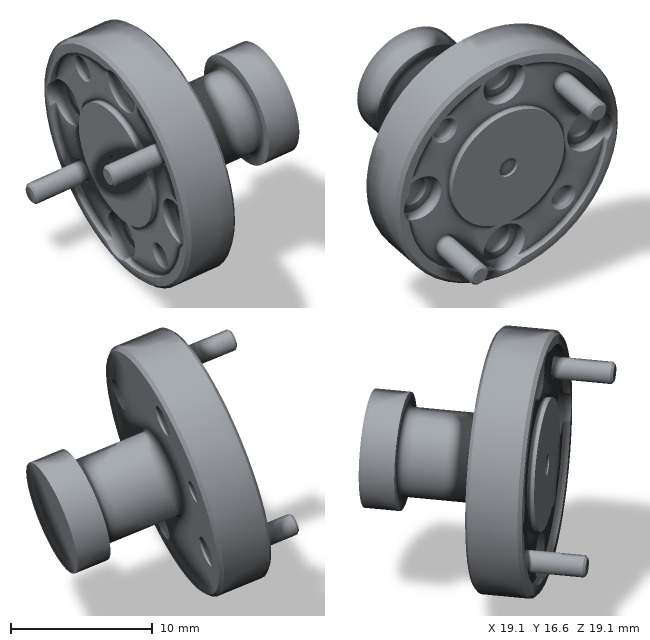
import cadquery as cq
import math

FLANGE_DIAMETER = 19.05
FLANGE_THICKNESS = 4.08
FLANGE_CHAMFER = 0.27

NECK_DIAMETER = 6.38
NECK_LENGTH = 6.08
NECK_FILLET = 0.25
HEAD_DIAMETER = 8.45
HEAD_LENGTH = 2.55

RECESS_DIAMETER = 17.15
BOSS_DIAMETER = 9.52
RECESS_DEPTH = 0.51
CENTER_HOLE_DIAMETER = 1.52
CENTER_HOLE_DEPTH = 0.25

PITCH_RADIUS = 7.15
SCREW_ANGLES = (0, 90, 180, 270)
SCREW_HOLE_DIAMETER = 2.27
COUNTERBORE_DIAMETER = 3.55
COUNTERBORE_DEPTH = 1.5

ALIGNMENT_ANGLES = (135, 315)
ALIGNMENT_HOLE_DIAMETER = 1.64
ALIGNMENT_HOLE_CHAMFER = 0.2

PIN_ANGLES = (45, 225)
PIN_DIAMETER = 1.58
PIN_PROJECTION = 3.87
PIN_TIP_CHAMFER = 0.17
PIN_HOLE_CHAMFER = 0.1

NECK_END = FLANGE_THICKNESS + NECK_LENGTH


def cylinder(diameter, start, end, x=0, z=0):
    """Cylinder parallel to Y, from Y = start to Y = end."""
    solid = cq.Solid.makeCylinder(
        diameter / 2, end - start, cq.Vector(x, start, z), cq.Vector(0, 1, 0)
    )
    return cq.Workplane(obj=solid)


def pitch_point(angle):
    """X and Z of a place on the pitch circle."""
    turn = math.radians(angle)
    return PITCH_RADIUS * math.cos(turn), PITCH_RADIUS * math.sin(turn)


def chamfered_hole(diameter, chamfer, x, z):
    """Cutter through the flange, with a 45 degree cone at the recess floor."""
    mouth = cq.Solid.makeCone(
        diameter / 2 + chamfer,
        diameter / 2,
        chamfer,
        cq.Vector(x, RECESS_DEPTH, z),
        cq.Vector(0, 1, 0),
    )
    bore = cylinder(diameter, 0, FLANGE_THICKNESS, x, z)
    return bore.union(cq.Workplane(obj=mouth))


def make_blank():
    """Chamfered flange with the neck and head behind it."""
    flange = cylinder(FLANGE_DIAMETER, 0, FLANGE_THICKNESS).edges().chamfer(FLANGE_CHAMFER)
    neck_radius = NECK_DIAMETER / 2
    flare_radius = neck_radius + NECK_FILLET
    bulge = NECK_FILLET * (1 - math.sqrt(0.5))
    neck = (
        cq.Workplane("XY")
        .moveTo(0, FLANGE_THICKNESS)
        .lineTo(flare_radius, FLANGE_THICKNESS)
        .threePointArc(
            (neck_radius + bulge, FLANGE_THICKNESS + bulge),
            (neck_radius, FLANGE_THICKNESS + NECK_FILLET),
        )
        .lineTo(neck_radius, NECK_END - NECK_FILLET)
        .threePointArc((neck_radius + bulge, NECK_END - bulge), (flare_radius, NECK_END))
        .lineTo(0, NECK_END)
        .close()
        .revolve(360, (0, 0, 0), (0, 1, 0))
    )
    head = cylinder(HEAD_DIAMETER, NECK_END, NECK_END + HEAD_LENGTH)
    return flange.union(neck).union(head)


def make_housing():
    housing = make_blank()

    ring = cylinder(RECESS_DIAMETER, 0, RECESS_DEPTH).cut(cylinder(BOSS_DIAMETER, 0, RECESS_DEPTH))
    housing = housing.cut(ring)
    housing = housing.cut(cylinder(CENTER_HOLE_DIAMETER, 0, CENTER_HOLE_DEPTH))

    for angle in SCREW_ANGLES:
        x, z = pitch_point(angle)
        housing = housing.cut(cylinder(SCREW_HOLE_DIAMETER, 0, FLANGE_THICKNESS, x, z))
        housing = housing.cut(cylinder(COUNTERBORE_DIAMETER, 0, COUNTERBORE_DEPTH, x, z))

    for angle in ALIGNMENT_ANGLES:
        x, z = pitch_point(angle)
        housing = housing.cut(chamfered_hole(ALIGNMENT_HOLE_DIAMETER, ALIGNMENT_HOLE_CHAMFER, x, z))

    for angle in PIN_ANGLES:
        x, z = pitch_point(angle)
        housing = housing.cut(chamfered_hole(PIN_DIAMETER, PIN_HOLE_CHAMFER, x, z))
    return housing


def make_pin(angle):
    """Pin flush with the back of the flange, with a chamfered front tip."""
    x, z = pitch_point(angle)
    pin = cylinder(PIN_DIAMETER, -PIN_PROJECTION, FLANGE_THICKNESS, x, z)
    return pin.faces("<Y").chamfer(PIN_TIP_CHAMFER)


housing = make_housing()
pins = [make_pin(angle) for angle in PIN_ANGLES]

result = cq.Compound.makeCompound([housing.val(), *[pin.val() for pin in pins]])